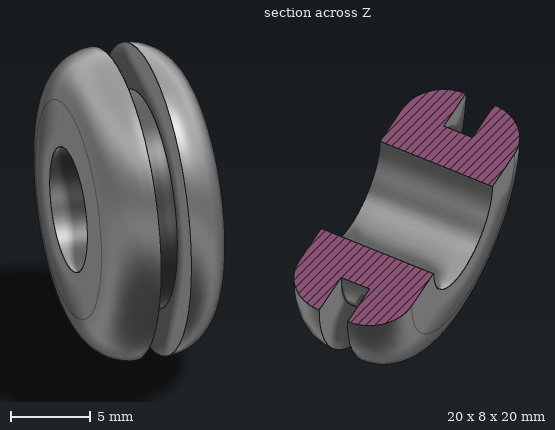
import cadquery as cq

outer_diameter = 20.0
neck_diameter = 14.0
bore_diameter = 8.0
total_width = 8.0
groove_width = 2.0

flange_thickness = (total_width - groove_width) / 2
rounding_depth = (outer_diameter - neck_diameter) / 2
flat_radius = outer_diameter / 2 - rounding_depth


def flange(inner_y, direction):
    """Flange growing from inner_y along Y, its outer rim a quarter round."""
    outer_y = inner_y + direction * flange_thickness
    arc_offset = 0.5 ** 0.5
    arc_middle = (
        flat_radius + rounding_depth * arc_offset,
        inner_y + direction * flange_thickness * arc_offset,
    )
    return (
        cq.Workplane("XY")
        .moveTo(0, inner_y)
        .lineTo(outer_diameter / 2, inner_y)
        .threePointArc(arc_middle, (flat_radius, outer_y))
        .lineTo(0, outer_y)
        .close()
        .revolve(360, (0, 0, 0), (0, 1, 0))
    )


def cylinder_along_y(diameter):
    """Full-width cylinder centred on the origin."""
    return cq.Workplane("XZ").circle(diameter / 2).extrude(total_width / 2, both=True)


body = cylinder_along_y(neck_diameter)
for side in (-1, 1):
    body = body.union(flange(side * groove_width / 2, side))

result = body.cut(cylinder_along_y(bore_diameter))